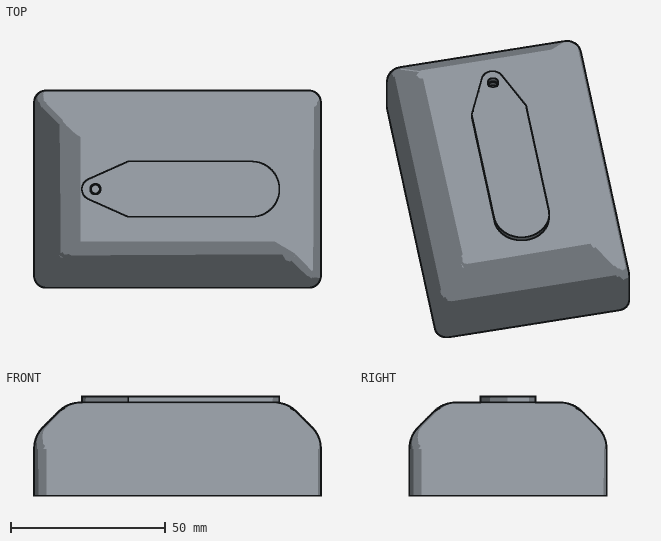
import cadquery as cq
import math

length = 93.0
width = 64.0
total_height = 32.3

plate_thickness = 1.95
housing_height = total_height - plate_thickness
shoulder_chamfer = 11.0
shoulder_radius = 9.95
corner_radius = 4.0

plate_width = 17.95
plate_half_width = plate_width / 2
plate_end_x = 33.0
plate_shoulder_x = -16.0
nose_tip_x = -31.0
nose_radius = 3.5
hole_x = -26.6
hole_diameter = 3.4

socket_diameter = 2.9
socket_depth = plate_thickness


def make_housing():
    """Block with 45 degree shoulders, standing on the XY plane, with a socket in its top."""
    block = cq.Workplane("XY").box(length, width, housing_height, centered=(True, True, False))
    sloped = block.faces(">Z").edges().chamfer(shoulder_chamfer)
    level_edges = sloped.edges("#Z").edges("not <Z")
    rounded = level_edges.fillet(shoulder_radius)
    body = rounded.edges("|Z").fillet(corner_radius)
    return body.faces(">Z").workplane(origin=(hole_x, 0, 0)).hole(socket_diameter, socket_depth)


def make_plate():
    """Flat tag lying on top of the housing, with a hole through its nose."""
    end_center_x = plate_end_x - plate_half_width
    nose_center_x = nose_tip_x + nose_radius

    run = plate_shoulder_x - nose_center_x
    reach = math.hypot(run, plate_half_width)
    taper_angle = math.atan2(plate_half_width, run) - math.asin(nose_radius / reach)
    tangent_x = nose_center_x - nose_radius * math.sin(taper_angle)
    tangent_y = nose_radius * math.cos(taper_angle)

    outline = (
        cq.Workplane("XY")
        .workplane(offset=housing_height)
        .moveTo(plate_shoulder_x, plate_half_width)
        .lineTo(end_center_x, plate_half_width)
        .threePointArc((plate_end_x, 0), (end_center_x, -plate_half_width))
        .lineTo(plate_shoulder_x, -plate_half_width)
        .lineTo(tangent_x, -tangent_y)
        .threePointArc((nose_tip_x, 0), (tangent_x, tangent_y))
        .close()
    )
    plate = outline.extrude(plate_thickness)
    return plate.faces(">Z").workplane(origin=(hole_x, 0, 0)).hole(hole_diameter)


housing = make_housing()
plate = make_plate()

result = cq.Compound.makeCompound([housing.val(), plate.val()])